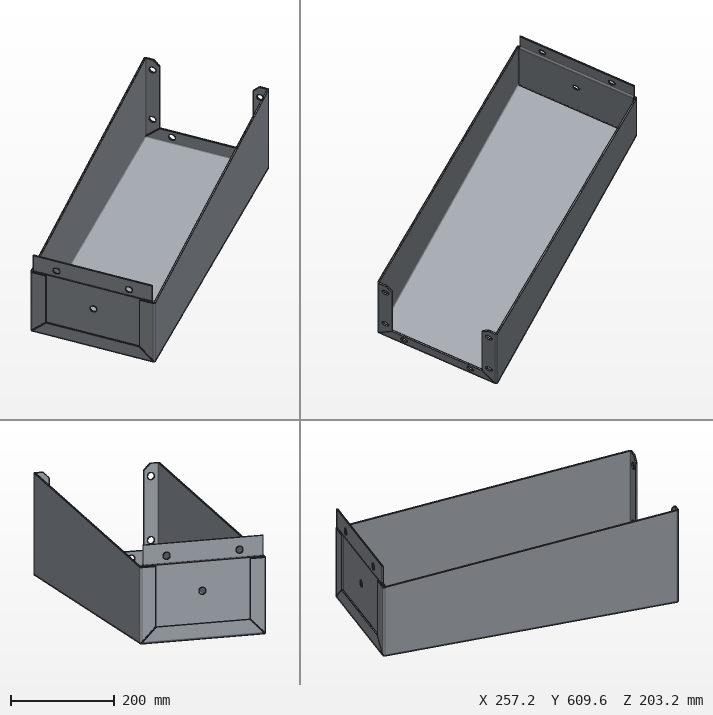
import cadquery as cq
import math

width = 257.18
length = 609.6
rear_height = 203.2
front_height = 152.4

sheet = 3.04
inner_bend = 0.6
outer_bend = inner_bend + sheet

flange = 31.75
flange_chamfer = 12.7
front_flange_top = 151.9
mitre_gap = 1.0

hole_diameter = 14.29
side_hole_inset = 17.46
side_hole_heights = (50.8, 177.8)
floor_hole_x = 71.0
floor_hole_height = 17.46

plate_sheet = 2.3
plate_outer_bend = inner_bend + plate_sheet
plate_width = 245.5
plate_top = 196.2
plate_floor_gap = 1.0
flange_gap = 1.22
step_gap = 2.1
lip_hole_x = 74.7
lip_hole_height = 171.45
center_hole_height = 95.25

front_y = -length / 2
rear_y = length / 2
inside_width = width - 2 * sheet
inside_length = length - 2 * sheet
opening_width = width - 2 * flange


def holes_along_y(positions, y_middle):
    """Bolt-hole cutters through one sheet whose mid-plane is at y_middle."""
    depth = 3 * sheet
    return (
        cq.Workplane("XZ", origin=(0, y_middle + depth / 2, 0))
        .pushPoints(positions)
        .circle(hole_diameter / 2)
        .extrude(depth)
    )


def folded_shell():
    """Closed-ended tray with rounded folds, open at the top."""
    outside = (
        cq.Workplane("XY")
        .box(width, length, rear_height, centered=(True, True, False))
        .edges("|Z or <Z")
        .fillet(outer_bend)
    )
    inside = (
        cq.Workplane("XY", origin=(0, 0, sheet))
        .box(inside_width, inside_length, rear_height, centered=(True, True, False))
        .edges("|Z or <Z")
        .fillet(inner_bend)
    )
    return outside.cut(inside)


def slope_cutter():
    """Wedge above the side walls, which fall from the rear to the front."""
    front_end = front_y + outer_bend
    return (
        cq.Workplane("YZ")
        .moveTo(rear_y - outer_bend, rear_height)
        .lineTo(front_end, front_height)
        .lineTo(front_end, front_flange_top)
        .lineTo(front_y, front_flange_top)
        .lineTo(front_y, rear_height)
        .close()
        .extrude(width / 2, both=True)
    )


def front_opening():
    """Opening between the three front flanges."""
    return cq.Workplane("XY", origin=(0, front_y, flange)).box(
        opening_width, 2 * outer_bend, rear_height, centered=(True, True, False)
    )


def rear_opening():
    """Opening between the three rear flanges, flared by chamfers at the top."""
    half = opening_width / 2
    return (
        cq.Workplane("XZ", origin=(0, rear_y, 0))
        .moveTo(-half, flange)
        .lineTo(half, flange)
        .lineTo(half, rear_height - flange_chamfer)
        .lineTo(half + flange_chamfer, rear_height)
        .lineTo(-half - flange_chamfer, rear_height)
        .lineTo(-half, rear_height - flange_chamfer)
        .close()
        .extrude(outer_bend, both=True)
    )


def mitre_slit(side, y_end):
    """Thin 45 degree slit that parts a side flange from the floor flange."""
    run = flange - outer_bend
    middle = outer_bend + run / 2
    return (
        cq.Workplane("XY")
        .box(run * math.sqrt(2), 2 * outer_bend, mitre_gap)
        .rotate((0, 0, 0), (0, 1, 0), side * 45)
        .translate((side * (width / 2 - middle), y_end, middle))
    )


def make_trough():
    """Sloping-sided trough with mitred flanges at both ends."""
    body = folded_shell().cut(slope_cutter()).cut(front_opening()).cut(rear_opening())
    for y_end in (front_y, rear_y):
        for side in (-1, 1):
            body = body.cut(mitre_slit(side, y_end))
    side_hole_x = width / 2 - side_hole_inset
    rear_holes = [(side * side_hole_x, z) for side in (-1, 1) for z in side_hole_heights]
    rear_holes += [(side * floor_hole_x, floor_hole_height) for side in (-1, 1)]
    return body.cut(holes_along_y(rear_holes, rear_y - sheet / 2))


def make_end_plate():
    """Plate behind the front flanges, joggled forward over them into a lip."""
    lip_back = front_y + plate_sheet
    plate_front = lip_back + flange_gap
    plate_back = plate_front + plate_sheet
    step_bottom = front_flange_top + step_gap
    step_top = step_bottom + plate_sheet
    plate_bottom = sheet + plate_floor_gap
    body = (
        cq.Workplane("YZ")
        .moveTo(plate_front, plate_bottom)
        .lineTo(plate_back, plate_bottom)
        .lineTo(plate_back, step_top)
        .lineTo(lip_back, step_top)
        .lineTo(lip_back, plate_top)
        .lineTo(front_y, plate_top)
        .lineTo(front_y, step_bottom)
        .lineTo(plate_front, step_bottom)
        .close()
        .extrude(plate_width / 2, both=True)
    )
    folded_edges = [
        (plate_front, step_bottom, inner_bend),
        (lip_back, step_top, inner_bend),
        (plate_back, step_top, plate_outer_bend),
        (front_y, step_bottom, plate_outer_bend),
    ]
    for y, z, radius in folded_edges:
        body = body.edges(cq.selectors.NearestToPointSelector((0, y, z))).fillet(radius)
    lip_holes = [(side * lip_hole_x, lip_hole_height) for side in (-1, 1)]
    body = body.cut(holes_along_y(lip_holes, front_y + plate_sheet / 2))
    return body.cut(holes_along_y([(0, center_hole_height)], plate_front + plate_sheet / 2))


trough = make_trough()
end_plate = make_end_plate()
result = cq.Compound.makeCompound([trough.val(), end_plate.val()])